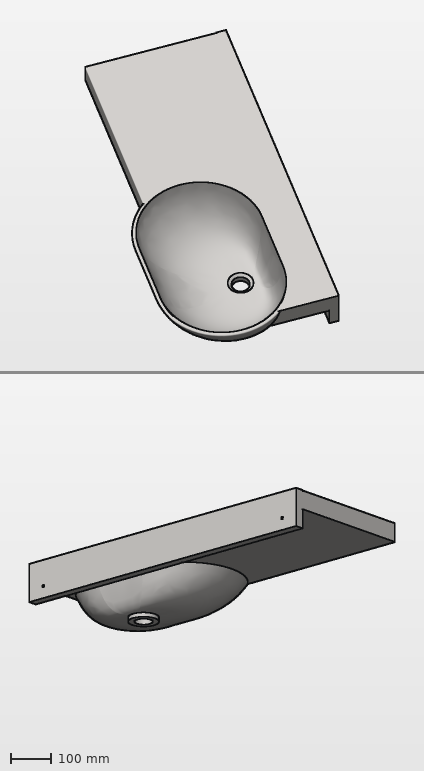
import cadquery as cq


slab_length = 894.0
slab_depth = 371.0
slab_thickness = 50.0
leg_thickness = 25.0
leg_bottom = 101.0
edge_radius = 3.0

mount_diameter = 6.0
mount_inset = 47.5
mount_drop = 69.0

total_length = 932
total_depth = 435.0
total_height = 154.0

lip_trim = 0.8
rim_radius = 172.0
rim_half_width = 255.0
wall = 11.0
bowl_x = total_length + lip_trim - rim_half_width
rim_y = rim_radius - lip_trim - total_depth

drain_y = -186
drain_diameter = 46.0
funnel_diameter = 64.0
funnel_depth = 6.0
boss_diameter = 77.0
boss_height = 11.0
floor_thickness = 10.0
outer_depth = total_height - boss_height
inner_depth = outer_depth - floor_thickness

depth_power = 1.3
spread_power = 0.38
section_spreads = (1, 0.93, 0.84, 0.7, 0.52, 0.32, 0.15, 0)
side_bias = 0.9
front_bias = 1.05
drain_straight = 2.0


def blend(drain_value, rim_value, spread):
    return drain_value + (rim_value - drain_value) * spread


def stadium(half_width, radius, center_y, depth):
    """Closed stadium wire, long axis along X, at the given depth below the top."""
    straight = half_width - radius
    return (
        cq.Workplane("XY", origin=(bowl_x, center_y, -depth))
        .moveTo(-straight, radius)
        .lineTo(straight, radius)
        .threePointArc((half_width, 0), (straight, -radius))
        .lineTo(-straight, -radius)
        .threePointArc((-half_width, 0), (-straight, radius))
        .close()
        .val()
    )


def bowl_solid(half_width, radius, depth):
    """Smooth loft from the rim stadium down to the drain funnel opening."""
    drain_radius = funnel_diameter / 2
    sections = []
    for spread in section_spreads:
        depth_fraction = (1 - spread ** (1 / spread_power)) ** (1 / depth_power)
        side_spread = spread**side_bias
        front_spread = spread**front_bias
        section_half_width = blend(drain_radius + drain_straight, half_width, side_spread)
        back_y = blend(drain_y + drain_radius, rim_y + radius, side_spread)
        front_y = blend(drain_y - drain_radius, rim_y - radius, front_spread)
        section_radius = (back_y - front_y) / 2
        center_y = (back_y + front_y) / 2
        sections.append(stadium(section_half_width, section_radius, center_y, depth * depth_fraction))
    return cq.Workplane(cq.Solid.makeLoft(sections))


def drain_cylinder(diameter, bottom, top):
    return (
        cq.Workplane("XY", origin=(bowl_x, drain_y, bottom))
        .circle(diameter / 2)
        .extrude(top - bottom)
    )


slab = (
    cq.Workplane("XY")
    .box(slab_length, slab_depth, slab_thickness, centered=False)
    .translate((0, -slab_depth, -slab_thickness))
)
slab = slab.edges("(<X and >Z) or (<Y and >Z) or (<X and <Y)").fillet(edge_radius)

corner_cut = (
    cq.Workplane("XY")
    .box(slab_length - bowl_x, slab_depth + rim_y, slab_thickness, centered=False)
    .translate((bowl_x, -slab_depth, -slab_thickness))
)
slab = slab.cut(corner_cut)

leg = (
    cq.Workplane("XY")
    .box(slab_length, leg_thickness, leg_bottom, centered=False)
    .translate((0, -leg_thickness, -leg_bottom))
)
mount_holes = (
    cq.Workplane("XZ")
    .pushPoints([(x, -mount_drop) for x in (mount_inset, slab_length - mount_inset)])
    .circle(mount_diameter / 2)
    .extrude(leg_thickness)
)

outer_bowl = bowl_solid(rim_half_width, rim_radius, outer_depth)
outer_bowl = outer_bowl.faces(">Z").edges().fillet(edge_radius)
boss = drain_cylinder(boss_diameter, -total_height, -inner_depth)

basin = bowl_solid(rim_half_width - wall, rim_radius - wall, inner_depth)
drain_hole = drain_cylinder(drain_diameter, -total_height, -inner_depth)
funnel = (
    cq.Workplane("XY", origin=(bowl_x, drain_y, -inner_depth - funnel_depth))
    .circle(drain_diameter / 2)
    .workplane(offset=funnel_depth)
    .circle(funnel_diameter / 2)
    .loft(ruled=True)
)

result = (
    slab.union(leg)
    .cut(mount_holes)
    .union(outer_bowl)
    .union(boss)
    .cut(basin)
    .cut(funnel)
    .cut(drain_hole)
)